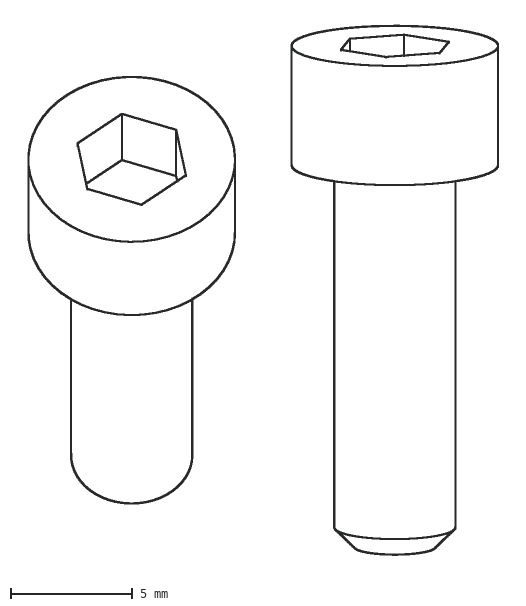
import cadquery as cq
import math

total_length = 21.0
head_diameter = 8.5
shank_diameter = 5.0
head_height = shank_diameter
shank_length = total_length - head_height
tip_chamfer = 0.82
socket_across_flats = 4.12
socket_across_corners = socket_across_flats / math.cos(math.radians(30))
socket_depth = 3.15


def make_head():
    return cq.Workplane("XY").circle(head_diameter / 2).extrude(head_height)


def make_shank():
    """Plain shank below the head, chamfered at its tip."""
    shank = cq.Workplane("XY").circle(shank_diameter / 2).extrude(-shank_length)
    return shank.faces("<Z").chamfer(tip_chamfer)


def make_socket():
    """Hexagonal prism with two corners on the X axis."""
    return (
        cq.Workplane("XY")
        .workplane(offset=head_height - socket_depth)
        .polygon(6, socket_across_corners)
        .extrude(socket_depth)
    )


result = make_head().union(make_shank()).cut(make_socket())